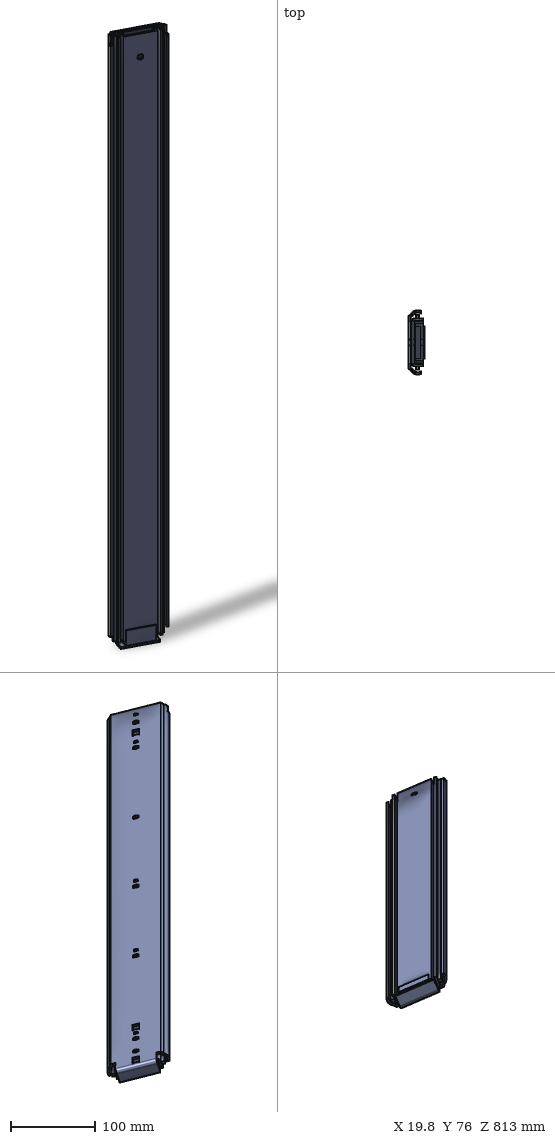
import cadquery as cq
import math

LENGTH = 813.0
WIDTH = 76.0
RAIL_DEPTH = 18.0
PAD_THICKNESS = 1.8
THICKNESS = RAIL_DEPTH + PAD_THICKNESS
BACK_X = -THICKNESS / 2
FRONT_X = THICKNESS / 2
RAIL_FRONT_X = BACK_X + RAIL_DEPTH
SHEET = 2.85

WEB_HALF = 31.0
SHOULDER_DEPTH = 3.0
SHOULDER_WIDTH = 2.5
STEP_X = BACK_X + SHOULDER_DEPTH
STEP_Y = WEB_HALF + SHOULDER_WIDTH
FLANGE_TIP_X = 6.0
FLANGE_CREST_X = 2.0
CREST_RUN = FLANGE_CREST_X - STEP_X
CREST_RISE = WIDTH / 2 - STEP_Y
FLANGE_RADIUS = (CREST_RUN**2 + CREST_RISE**2) / (2 * CREST_RISE)
FLANGE_BOTTOM_Z = 17.0
NOTCH_DEPTH = 10.5
NOTCH_X = -2.0

TONGUE_HALF = 25.0
LIP_BEND_RADIUS = 5.0

MIDDLE_BACK_X = -6.0
MIDDLE_HALF = 28.5
MIDDLE_BEND_RADIUS = 3.0
MEMBER_BOTTOM_Z = 9.0

INNER_HALF = 22.0
INNER_BACK_X = -2.0
PAD_HALF = INNER_HALF - SHEET
PAD_BOTTOM_Z = 4.0
PAD_TOP_Z = 24.0

RETAINER_BACK_X = -1.0
RETAINER_TIP_X = 3.0
RETAINER_OUTER_Y = 32.5

SMALL_DIAMETER = 5.3
LARGE_DIAMETER = 7.0
THROUGH_HOLE_Z = 782.0
SMALL_HOLES_Z = [800.0, 737.0, 421.0, 262.5, 74.0]
LARGE_HOLES_Z = [THROUGH_HOLE_Z, 724.0, 566.0, 408.0, 249.5, 61.0, 32.5]
WINDOW_WIDTH = 8.0
WINDOW_HEIGHT = 12.0
WINDOWS_Z = [759.0, 88.0, 13.0]


def block(x_min, x_max, y_min, y_max, z_min, z_max):
    """Axis-aligned box given by its limits."""
    box = cq.Workplane("XY").box(x_max - x_min, y_max - y_min, z_max - z_min, centered=False)
    return box.translate((x_min, y_min, z_min))


def cross_holes(diameter, heights):
    """Round cutters along X on the centre line."""
    points = [(0, z) for z in heights]
    cutters = cq.Workplane("YZ", origin=(BACK_X, 0, 0)).pushPoints(points)
    return cutters.circle(diameter / 2).extrude(THICKNESS)


def flange_point(x, radius):
    """Point at x on the arc of the given radius about the flange's centre of curvature."""
    centre_y = WIDTH / 2 - FLANGE_RADIUS
    return x, centre_y + math.sqrt(radius**2 - (x - FLANGE_CREST_X) ** 2)


def make_half_rail():
    """The +Y half of the outer member's rail."""
    inner_radius = FLANGE_RADIUS - SHEET
    inner_web_x = BACK_X + SHEET
    bend_angle = math.atan2(SHOULDER_DEPTH, SHOULDER_WIDTH)
    inner_web_half = WEB_HALF - SHEET * math.tan(bend_angle / 2)
    outer_crest = flange_point(FLANGE_CREST_X, FLANGE_RADIUS)
    outer_tip = flange_point(FLANGE_TIP_X, FLANGE_RADIUS)
    inner_crest = flange_point(FLANGE_CREST_X, inner_radius)
    inner_tip = flange_point(FLANGE_TIP_X, inner_radius)
    inner_step = flange_point(STEP_X + SHEET, inner_radius)
    section = (
        cq.Workplane("XY", origin=(0, 0, FLANGE_BOTTOM_Z))
        .moveTo(BACK_X, 0)
        .lineTo(BACK_X, WEB_HALF)
        .lineTo(STEP_X, STEP_Y)
        .threePointArc(outer_crest, outer_tip)
        .lineTo(*inner_tip)
        .threePointArc(inner_crest, inner_step)
        .lineTo(inner_web_x, inner_web_half)
        .lineTo(inner_web_x, 0)
        .close()
    )
    return section.extrude(LENGTH - FLANGE_BOTTOM_Z)


def make_tongue():
    """Lower end of the outer web with its bent lip."""
    tongue = block(BACK_X, RAIL_FRONT_X, -TONGUE_HALF, TONGUE_HALF, 0, FLANGE_BOTTOM_Z)
    tongue = tongue.edges("|Y and <X and <Z").fillet(LIP_BEND_RADIUS)
    hollow = block(BACK_X + SHEET, RAIL_FRONT_X, -TONGUE_HALF, TONGUE_HALF, SHEET, FLANGE_BOTTOM_Z)
    hollow = hollow.edges("|Y and <X and <Z").fillet(LIP_BEND_RADIUS - SHEET)
    return tongue.cut(hollow)


def make_outer():
    half_rail = make_half_rail()
    rail = half_rail.union(half_rail.mirror("XZ")).union(make_tongue()).clean()
    notches = block(NOTCH_X, FLANGE_TIP_X, -WIDTH / 2, WIDTH / 2, LENGTH - NOTCH_DEPTH, LENGTH)
    windows = (
        cq.Workplane("YZ", origin=(BACK_X, 0, 0))
        .pushPoints([(0, z) for z in WINDOWS_Z])
        .rect(WINDOW_WIDTH, WINDOW_HEIGHT)
        .extrude(SHEET)
    )
    rail = rail.cut(notches).cut(windows)
    rail = rail.cut(cross_holes(SMALL_DIAMETER, SMALL_HOLES_Z))
    return rail.cut(cross_holes(LARGE_DIAMETER, LARGE_HOLES_Z))


def make_middle():
    web_front_x = MIDDLE_BACK_X + SHEET
    cavity_half = MIDDLE_HALF - SHEET
    channel = block(MIDDLE_BACK_X, RAIL_FRONT_X, -MIDDLE_HALF, MIDDLE_HALF, MEMBER_BOTTOM_Z, LENGTH)
    channel = channel.edges("|Z and <X").fillet(MIDDLE_BEND_RADIUS)
    cavity = block(web_front_x, RAIL_FRONT_X, -cavity_half, cavity_half, MEMBER_BOTTOM_Z, LENGTH)
    return channel.cut(cavity).cut(cross_holes(LARGE_DIAMETER, [THROUGH_HOLE_Z]))


def make_inner():
    web_back_x = RAIL_FRONT_X - SHEET
    channel = block(INNER_BACK_X, RAIL_FRONT_X, -INNER_HALF, INNER_HALF, MEMBER_BOTTOM_Z, LENGTH)
    cavity = block(INNER_BACK_X, web_back_x, -PAD_HALF, PAD_HALF, MEMBER_BOTTOM_Z, LENGTH)
    end_block_top_z = MEMBER_BOTTOM_Z + SHEET
    end_block = block(INNER_BACK_X, RAIL_FRONT_X, -PAD_HALF, PAD_HALF, PAD_BOTTOM_Z, end_block_top_z)
    pad = block(RAIL_FRONT_X, FRONT_X, -PAD_HALF, PAD_HALF, PAD_BOTTOM_Z, PAD_TOP_Z)
    member = channel.cut(cavity).union(end_block).union(pad)
    return member.cut(cross_holes(LARGE_DIAMETER, [THROUGH_HOLE_Z]))


def make_retainer(side):
    """Strip beside one flange of the middle member; side is +1 or -1."""
    y_min, y_max = sorted((side * MIDDLE_HALF, side * RETAINER_OUTER_Y))
    return block(RETAINER_BACK_X, RETAINER_TIP_X, y_min, y_max, MEMBER_BOTTOM_Z, LENGTH)


outer = make_outer()
middle = make_middle()
inner = make_inner()
retainers = [make_retainer(side) for side in (-1, 1)]

result = cq.Compound.makeCompound(
    [outer.val(), middle.val(), inner.val(), *[retainer.val() for retainer in retainers]]
)